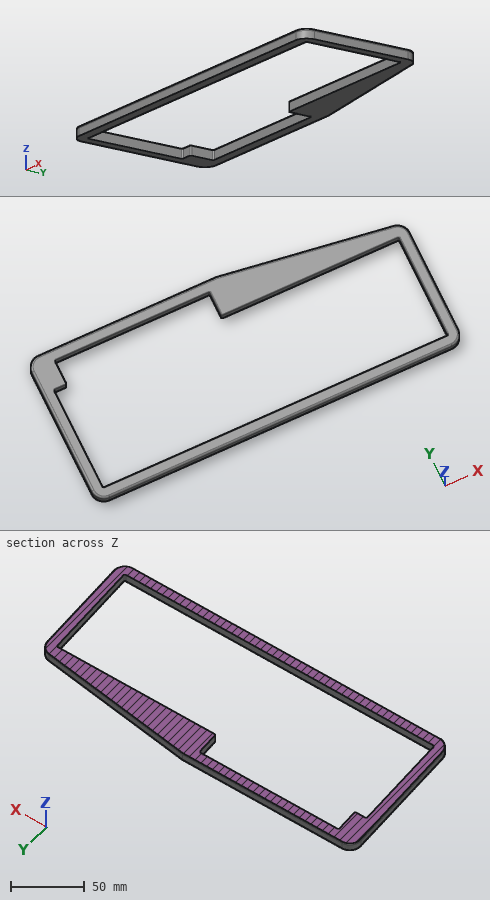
import cadquery as cq

length = 275.3
width = 113.5
thickness = 7.5
wall = 8.0
corner_radius = 9.0
top_edge_radius = 1.51

slope_start_x = 5.2
slope_drop = 19.0

notch_left_x = -120.0
notch_length = 116.5
notch_depth = 19.0
window_corner_radius = 2.0 / 2
window_rim_radius = 0.5

half_length = length / 2
half_width = width / 2
opening_right = half_length - wall
opening_back = half_width - wall
step_y = opening_back - notch_depth
notch_right_x = notch_left_x + notch_length


def make_body():
    """Plate with one sloped edge, rounded corners and a rounded upper rim."""
    outline = [
        (-half_length, -half_width),
        (half_length, -half_width),
        (half_length, half_width - slope_drop),
        (slope_start_x, half_width),
        (-half_length, half_width),
    ]
    plate = cq.Workplane("XY").polyline(outline).close().extrude(thickness)
    plate = plate.edges("|Z and (<X or >X)").fillet(corner_radius)
    return plate.faces(">Z").edges().fillet(top_edge_radius)


def make_opening():
    """Through window with every corner slightly rounded."""
    outline = [
        (-opening_right, -opening_back),
        (opening_right, -opening_back),
        (opening_right, step_y),
        (notch_right_x, step_y),
        (notch_right_x, opening_back),
        (notch_left_x, opening_back),
        (notch_left_x, step_y),
        (-opening_right, step_y),
    ]
    window = cq.Workplane("XY").polyline(outline).close().extrude(thickness)
    return window.edges("|Z").fillet(window_corner_radius)


frame = make_body().cut(make_opening())
window_rim = frame.faces(">Z").val().innerWires()[0].Edges()
result = frame.newObject(window_rim).fillet(window_rim_radius)